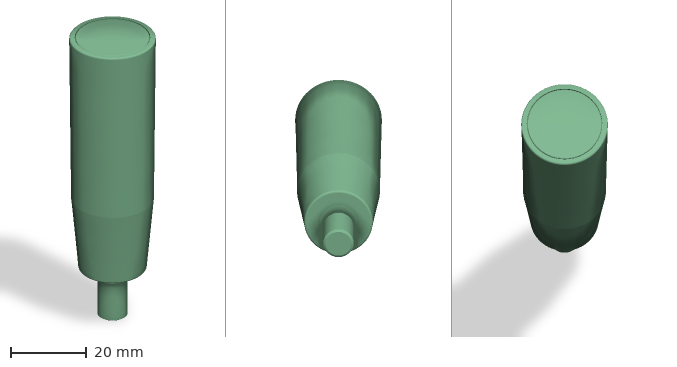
import cadquery as cq

TOP_Z = 84.4
WAIST_Z = 35.6
BASE_Z = 14.4
TOP_DIAMETER = 22.95
WAIST_DIAMETER = 21.95
BASE_DIAMETER = 18.1
TOP_ROUND = 0.5
BASE_ROUND = 0.6

GROOVE_OUTER_DIAMETER = 20.0
GROOVE_INNER_DIAMETER = 19.7
GROOVE_DEPTH = 0.5
GROOVE_RIM_CHAMFER = 0.2

THREAD_DIAMETER = 8.0
THREAD_TOP_Z = 11.6
TIP_CHAMFER_HEIGHT = 0.4
TIP_DIAMETER = 6.8
NECK_DIAMETER = 6.5
SHANK_DIAMETER = 10.0
SHANK_START_Z = 14.2
SHANK_END_Z = 65.0


def cylinder(diameter, bottom_z, top_z):
    """Upright cylinder on the Z axis."""
    return cq.Workplane("XY").workplane(offset=bottom_z).circle(diameter / 2).extrude(top_z - bottom_z)


def make_spindle():
    """Threaded end, undercut neck and the plain shank on which the handle sits."""
    thread = cylinder(THREAD_DIAMETER, TIP_CHAMFER_HEIGHT, THREAD_TOP_Z)
    tip = (
        cq.Workplane("XZ")
        .lineTo(TIP_DIAMETER / 2, 0)
        .lineTo(THREAD_DIAMETER / 2, TIP_CHAMFER_HEIGHT)
        .lineTo(0, TIP_CHAMFER_HEIGHT)
        .close()
        .revolve(360, (0, 0, 0), (0, 1, 0))
    )
    neck = cylinder(NECK_DIAMETER, THREAD_TOP_Z, SHANK_START_Z)
    shank = cylinder(SHANK_DIAMETER, SHANK_START_Z, SHANK_END_Z)
    return tip.union(thread).union(neck).union(shank)


def make_handle():
    """Tapered grip with rounded ends, a top ring groove and a blind bore for the shank."""
    half_profile = (
        cq.Workplane("XZ")
        .moveTo(0, BASE_Z)
        .lineTo(BASE_DIAMETER / 2, BASE_Z)
        .lineTo(WAIST_DIAMETER / 2, WAIST_Z)
        .lineTo(TOP_DIAMETER / 2, TOP_Z)
        .lineTo(0, TOP_Z)
        .close()
    )
    grip = half_profile.revolve(360, (0, 0, 0), (0, 1, 0))
    grip = grip.faces(">Z").edges().fillet(TOP_ROUND)
    grip = grip.faces("<Z").edges().fillet(BASE_ROUND)

    groove_floor_z = TOP_Z - GROOVE_DEPTH
    disc = cylinder(GROOVE_INNER_DIAMETER, groove_floor_z, TOP_Z)
    disc = disc.faces(">Z").edges().chamfer(GROOVE_RIM_CHAMFER)
    groove = cylinder(GROOVE_OUTER_DIAMETER, groove_floor_z, TOP_Z).cut(disc)
    bore = cylinder(SHANK_DIAMETER, BASE_Z, SHANK_END_Z)
    return grip.cut(groove).cut(bore)


handle = make_handle()
spindle = make_spindle()

result = cq.Compound.makeCompound([handle.val(), spindle.val()])